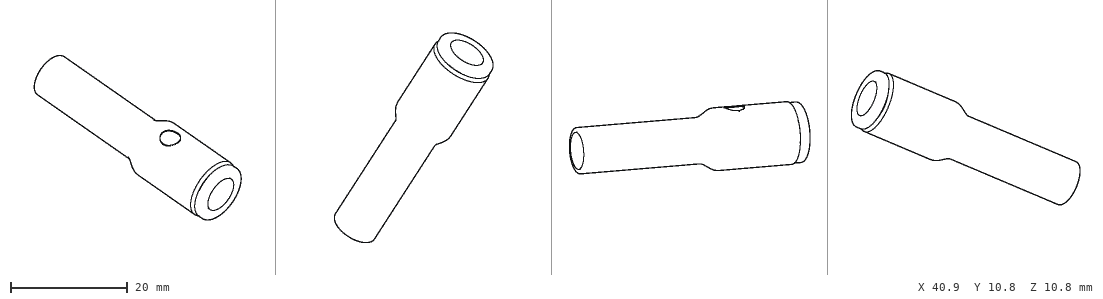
import cadquery as cq

total_length = 40.9
cone_start = 22.65
cone_end = 24.95
body_end = 38.95
collar_start = 39.55

tube_radius = 4.0
body_radius = 5.42
neck_radius = 3.8
collar_radius = 5.25
bore_radius = 3.2

tube_end_fillet = 0.33
cone_blend = 2.0
collar_fillet = 0.33

recess_center = 28.85
recess_radius = 1.78
recess_depth = 0.2


def cylinder(radius, start, end):
    """Solid cylinder on the X axis between two positions."""
    return cq.Workplane("YZ", origin=(start, 0, 0)).circle(radius).extrude(end - start)


def make_tube_and_body():
    """Tube stem widening through a blended cone into the body."""
    profile = [
        (0, 0),
        (0, tube_radius),
        (cone_start, tube_radius),
        (cone_end, body_radius),
        (body_end, body_radius),
        (body_end, 0),
    ]
    shape = cq.Workplane("XY").polyline(profile).close().revolve(360, (0, 0, 0), (1, 0, 0))
    margin = 0.05
    for corner in (cone_start, cone_end):
        ring = cq.selectors.BoxSelector(
            (corner - margin, -body_radius, -body_radius),
            (corner + margin, body_radius, body_radius),
            boundingbox=False,
        )
        shape = shape.edges(ring).edges("%CIRCLE").fillet(cone_blend)
    return shape.faces("<X").edges().fillet(tube_end_fillet)


def make_release_collar():
    """Narrow neck carrying a rounded collar at the far end."""
    neck = cylinder(neck_radius, body_end, collar_start)
    collar = cylinder(collar_radius, collar_start, total_length).edges("%CIRCLE").fillet(collar_fillet)
    return neck.union(collar)


def make_recess():
    """Round pocket whose floor follows the curve of the body."""
    plug = (
        cq.Workplane("XY", origin=(recess_center, 0, 0))
        .circle(recess_radius)
        .extrude(body_radius)
    )
    return plug.cut(cylinder(body_radius - recess_depth, cone_end, body_end))


fitting = make_tube_and_body().union(make_release_collar()).cut(make_recess())
result = fitting.cut(cylinder(bore_radius, 0, total_length))